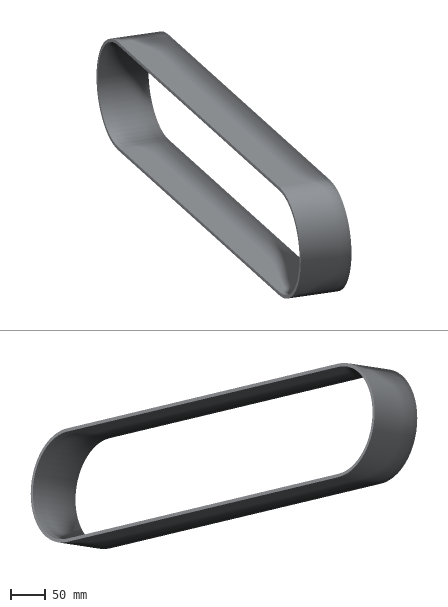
import cadquery as cq

length = 810.0
width = 80.0
height = 170.0
thickness = 5.0


def stadium(wall_inset):
    """Full-round slab along X, inset evenly from the outer face of the belt."""
    return (
        cq.Workplane("XZ")
        .slot2D(length - 2 * wall_inset, height - 2 * wall_inset)
        .extrude(width / 2, both=True)
    )


result = stadium(0).cut(stadium(thickness))